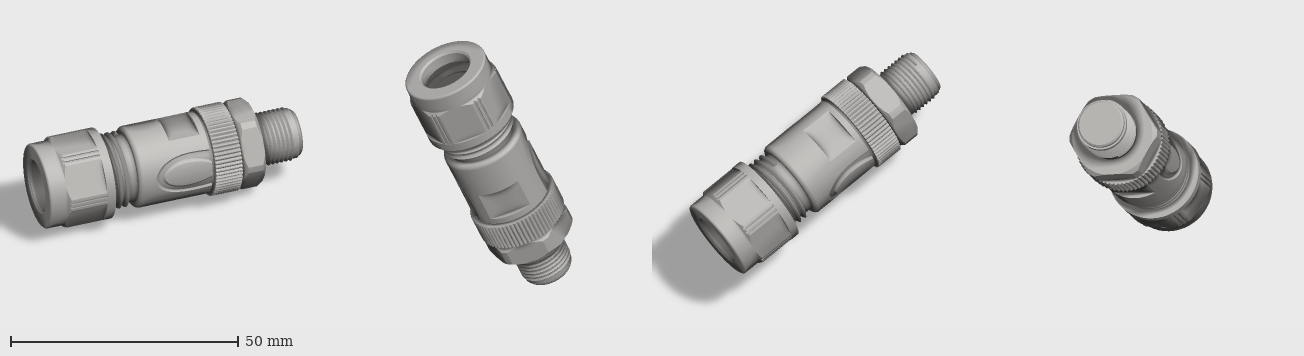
import cadquery as cq
import math


ROLL = 3.8
NUT_COLLAR_RADIUS = 9.55
NUT_COLLAR_END = 4.05
NUT_COLLAR_FILLET = 0.5
NUT_DIAMETER = 20.5
NUT_RADIUS = NUT_DIAMETER / 2
NUT_FLAT_APOTHEM = 9.5
NUT_BEVEL_END = 4.7
NUT_HEX_END = 13.0
NUT_END = 15.0
RIDGE_GROOVE_OFFSET = 0.55
RIDGE_GROOVE_WIDTH = 0.5
RIDGE_GROOVE_DEPTH = 0.3

LIP_RADIUS = 6.15
BORE_RADIUS = 5.75
BORE_END = 2.85
CHAMBER_RADIUS = 8.2
CHAMBER_END = 5.6
SEAL_FACE_RADIUS = 6.9
SEAL_FACE = 5.2
RECESS_RADIUS = 5.1
RECESS_DEPTH = 0.35

THREAD_ROOT_SHARE = 0.8
THREAD_ROOT_INSET = 0.1

REAR_CORE_RADIUS = 7.6
REAR_CREST_RADIUS = 8.5
REAR_PITCH = 1.5
REAR_THREAD_START = 14.4
REAR_THREAD_END = 19.7
REAR_CREST_AT_X = 18.65

BODY_DIAMETER = 18.4
BODY_RADIUS = BODY_DIAMETER / 2
BODY_START = 20.95
BODY_END = 37.9
BODY_FILLET = 0.95
FLAT_APOTHEM = 7.9
FLAT_START = 29.35
FLAT_END = 36.5

BADGE_ROLL = 11
BADGE_FLOOR_RADIUS = 8.7
BADGE_INNER_LEVEL = 7.25
BADGE_OUTER_LEVEL = 9.35
POCKET_CENTRE = 33.4
POCKET_AXES = (6.05, 9.85, 3.75)
POCKET_GROWTH = 1.3
BOSS_CENTRE = 32.15
BOSS_AXES = (6.75, 8.7, 3.9)
BOSS_GROWTH = -0.8

NECK_RADIUS = 8.75
RING_START = 38.5
RING_END = 44.65
RING_RADIUS = 9.95
KNURL_COUNT = 65
KNURL_DEPTH = 0.35
KNURL_WIDTH = 0.7
FRONT_NECK_RADIUS = 6.8

HEX_START = 45.0
HEX_END = 50.25
HEX_APOTHEM = 9.0
HEX_RADIUS = RING_RADIUS
HEX_REAR_BEVEL = (1.2, 0.95)
HEX_FRONT_BEVEL = (0.85, 0.85)

PLUG_CORE_RADIUS = 5.6
PLUG_CREST_RADIUS = 6.0
PLUG_PITCH = REAR_PITCH * 2 / 3
PLUG_THREAD_START = 52.0
PLUG_THREAD_END = 58.45
PLUG_CREST_AT_X = 57.75
PLUG_SHOULDER = 59.4
TIP_RADIUS = 5.2
TIP_CHAMFER = 0.35
LENGTH = 60.4


def revolved(*profile):
    """Solid of revolution about Y from (radius, y) points; the axis closes the outline."""
    points = [(0, profile[0][1]), *profile, (0, profile[-1][1])]
    return cq.Workplane("XY").polyline(points).close().revolve(360, (0, 0), (0, 1))


def cylinder(radius, start, end):
    return revolved((radius, start), (radius, end))


def rolled(shape, degrees):
    """Turn a shape about Y, +Z towards -X for a positive angle."""
    return shape.rotate((0, 0, 0), (0, 1, 0), -degrees)


def hexagon(apothem, start, end):
    """Hexagonal bar along Y with flats facing +Z and -Z."""
    circumdiameter = 2 * apothem / math.cos(math.pi / 6)
    plane = cq.Workplane("XZ", origin=(0, end, 0))
    return plane.polygon(6, circumdiameter).extrude(end - start)


def thread(core_radius, crest_radius, pitch, start, end, crest_at_x):
    """Right-handed sharp thread ridge whose crest passes +X at crest_at_x."""
    axis = cq.Vector(0, 1, 0)
    helix = cq.Wire.makeHelix(
        pitch, end - start, core_radius, center=cq.Vector(0, start, 0), dir=axis
    )
    first = helix.startPoint()
    outwards = cq.Vector(first.x, 0, first.z)
    plane = cq.Plane(origin=(0, 0, 0), xDir=outwards, normal=outwards.cross(axis))
    root_radius = core_radius - THREAD_ROOT_INSET
    root_half = THREAD_ROOT_SHARE * pitch / 2
    ridge = (
        cq.Workplane(plane)
        .polyline([
            (root_radius, start - root_half),
            (crest_radius, start),
            (root_radius, start + root_half),
        ])
        .close()
        .sweep(cq.Workplane(obj=helix), isFrenet=True)
    )
    start_angle = math.degrees(math.atan2(first.z, first.x))
    wanted_angle = 360 * (crest_at_x - start) / pitch
    return rolled(ridge, wanted_angle - start_angle)


def clamping_nut():
    shell = revolved(
        (NUT_COLLAR_RADIUS, NUT_COLLAR_END),
        (NUT_RADIUS, NUT_BEVEL_END),
        (NUT_RADIUS, NUT_HEX_END),
    )
    grip = shell.intersect(hexagon(NUT_FLAT_APOTHEM, NUT_COLLAR_END, NUT_HEX_END))
    for corner in range(6):
        for side in (-1, 1):
            groove = cq.Workplane("XY").box(
                2 * RIDGE_GROOVE_DEPTH, NUT_HEX_END, RIDGE_GROOVE_WIDTH, centered=(True, False, True)
            ).translate((NUT_RADIUS, 0, side * RIDGE_GROOVE_OFFSET))
            grip = grip.cut(rolled(groove, 60 * corner))
    collar = cylinder(NUT_COLLAR_RADIUS, 0, NUT_COLLAR_END).faces("<Y").edges().fillet(NUT_COLLAR_FILLET)
    flange = cylinder(NUT_RADIUS, NUT_HEX_END, NUT_END)
    return rolled(collar.union(grip).union(flange), ROLL)


def cable_entry():
    return revolved(
        (LIP_RADIUS, 0),
        (BORE_RADIUS, LIP_RADIUS - BORE_RADIUS),
        (BORE_RADIUS, BORE_END),
        (CHAMBER_RADIUS, BORE_END),
        (CHAMBER_RADIUS, CHAMBER_END),
        (SEAL_FACE_RADIUS, SEAL_FACE),
        (RECESS_RADIUS, SEAL_FACE),
        (RECESS_RADIUS, SEAL_FACE + RECESS_DEPTH),
    )


def egg(plane, axes, growth):
    """Outline of two half ellipses of equal width; axes are (-Y reach, +Y reach, half width)."""
    rear, front, half = (axis + growth for axis in axes)
    return (
        plane.moveTo(0, -half)
        .ellipseArc(front, half, -90, 90, startAtCurrent=True)
        .ellipseArc(rear, half, 90, 270, startAtCurrent=True)
        .close()
    )


def egg_prism(centre, axes, growth):
    """Sloping-walled prism towards -X whose outline grows by growth per unit of height."""
    height = BADGE_OUTER_LEVEL - BADGE_INNER_LEVEL
    plane = cq.Workplane(
        cq.Plane(origin=(-BADGE_INNER_LEVEL, centre, 0), xDir=(0, 1, 0), normal=(-1, 0, 0))
    )
    base = egg(plane, axes, 0)
    return egg(base.workplane(offset=height), axes, growth * height).loft(ruled=True)


def badge_moat():
    """Sunken band between an oval pocket and the oval boss inside it."""
    pocket = egg_prism(POCKET_CENTRE, POCKET_AXES, POCKET_GROWTH)
    boss = egg_prism(BOSS_CENTRE, BOSS_AXES, BOSS_GROWTH)
    floor = cylinder(BADGE_FLOOR_RADIUS, BODY_START, LENGTH)
    return pocket.cut(boss).cut(floor)


def body():
    shell = cylinder(BODY_RADIUS, BODY_START, BODY_END).faces("<Y").edges().fillet(BODY_FILLET)
    flat = cq.Workplane("XY").box(
        2 * BODY_RADIUS, FLAT_END - FLAT_START, BODY_RADIUS, centered=(True, False, False)
    ).translate((0, FLAT_START, FLAT_APOTHEM))
    moat = badge_moat()
    for half_turn in (0, 180):
        shell = shell.cut(rolled(flat, ROLL + half_turn))
        shell = shell.cut(rolled(moat, BADGE_ROLL + half_turn))
    return shell


def knurled_ring():
    ring = cylinder(RING_RADIUS, RING_START, RING_END)
    root = RING_RADIUS - KNURL_DEPTH
    outside = RING_RADIUS + KNURL_DEPTH
    groove = (
        cq.Workplane("XZ", origin=(0, RING_END, 0))
        .polyline([(root, 0), (outside, -KNURL_WIDTH), (outside, KNURL_WIDTH)])
        .close()
        .extrude(RING_END - RING_START)
    )
    pitch = 360 / KNURL_COUNT
    grooves = [rolled(groove, i * pitch).val() for i in range(KNURL_COUNT)]
    return ring.cut(cq.Compound.makeCompound(grooves))


def plug_hexagon():
    rear_radial, rear_axial = HEX_REAR_BEVEL
    front_radial, front_axial = HEX_FRONT_BEVEL
    shell = revolved(
        (HEX_RADIUS - rear_radial, HEX_START),
        (HEX_RADIUS, HEX_START + rear_axial),
        (HEX_RADIUS, HEX_END - front_axial),
        (HEX_RADIUS - front_radial, HEX_END),
    )
    return shell.intersect(hexagon(HEX_APOTHEM, HEX_START, HEX_END))


def plug():
    core = revolved(
        (PLUG_CORE_RADIUS, HEX_END),
        (PLUG_CORE_RADIUS, PLUG_SHOULDER),
        (TIP_RADIUS, PLUG_SHOULDER),
        (TIP_RADIUS, LENGTH - TIP_CHAMFER),
        (TIP_RADIUS - TIP_CHAMFER, LENGTH),
    )
    ridge = thread(
        PLUG_CORE_RADIUS,
        PLUG_CREST_RADIUS,
        PLUG_PITCH,
        PLUG_THREAD_START,
        PLUG_THREAD_END,
        PLUG_CREST_AT_X,
    )
    return core.union(ridge)


def rear_thread():
    core = cylinder(REAR_CORE_RADIUS, NUT_HEX_END, BODY_START)
    ridge = thread(
        REAR_CORE_RADIUS,
        REAR_CREST_RADIUS,
        REAR_PITCH,
        REAR_THREAD_START,
        REAR_THREAD_END,
        REAR_CREST_AT_X,
    )
    return core.union(ridge)


result = (
    clamping_nut()
    .cut(cable_entry())
    .union(rear_thread())
    .union(body())
    .union(cylinder(NECK_RADIUS, BODY_END, RING_START))
    .union(knurled_ring())
    .union(cylinder(FRONT_NECK_RADIUS, RING_END, HEX_START))
    .union(plug_hexagon())
    .union(plug())
)